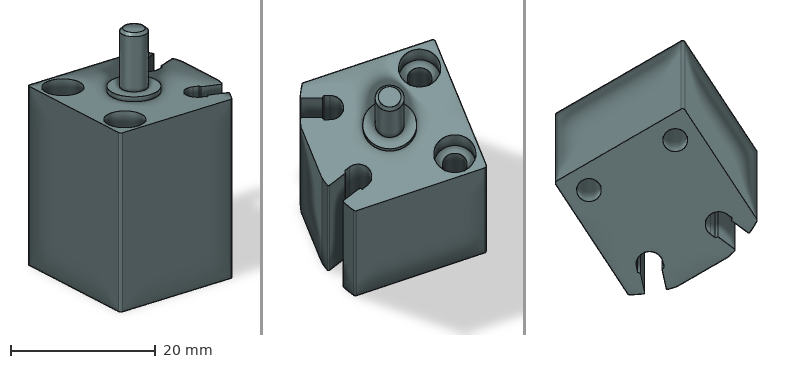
import cadquery as cq
import math

width = 21.0
depth = 22.0
half_width = width / 2
front_y = -half_width
back_y = front_y + depth
body_height = 27.0
side_corner_radius = 0.4

flat_half_width = 4.12
shoulder_y = 9.0
shoulder_bulge = 0.3

total_height = 36.5
collar_diameter = 7.5
collar_height = 0.73
rod_diameter = 4.0
rod_tip_chamfer = 0.45
collar_top = body_height + collar_height
rod_exposed_length = total_height - collar_top
rod_embedded_length = rod_exposed_length
rod_bottom = collar_top - rod_embedded_length

hole_offset = 7.0
hole_diameter = 3.4
counterbore_diameter = 5.8
counterbore_depth = 3.4

slot_center_x = 5.62
slot_center_y = 6.7
slot_tilt = 20.0
slot_radius = 1.85
slot_neck_half_width = 1.515
slot_side_height = 0.85
slot_neck_start = 1.05
slot_cut_length = depth / 2
slot_mouth_radius = 0.2
mouth_clearance = 0.35


def make_block():
    """Block outline with arched back shoulders and rounded corners along both sides."""
    chord_x = half_width - flat_half_width
    chord_y = back_y - shoulder_y
    chord = math.hypot(chord_x, chord_y)
    mid_x = (half_width + flat_half_width) / 2 + shoulder_bulge * chord_y / chord
    mid_y = (shoulder_y + back_y) / 2 + shoulder_bulge * chord_x / chord
    block = (
        cq.Workplane("XY")
        .moveTo(-half_width, front_y)
        .lineTo(half_width, front_y)
        .lineTo(half_width, shoulder_y)
        .threePointArc((mid_x, mid_y), (flat_half_width, back_y))
        .lineTo(-flat_half_width, back_y)
        .threePointArc((-mid_x, mid_y), (-half_width, shoulder_y))
        .close()
        .extrude(body_height)
    )
    return block.edges("|Z and (<X or >X)").fillet(side_corner_radius)


def make_slot_cutter(side):
    """Full-height slot, tilted outward toward side (+1 for +X, -1 for -X)."""
    return (
        cq.Workplane("XY")
        .moveTo(-slot_radius, 0)
        .threePointArc((0, -slot_radius), (slot_radius, 0))
        .lineTo(slot_radius, slot_side_height)
        .lineTo(slot_neck_half_width, slot_neck_start)
        .lineTo(slot_neck_half_width, slot_cut_length)
        .lineTo(-slot_neck_half_width, slot_cut_length)
        .lineTo(-slot_neck_half_width, slot_neck_start)
        .lineTo(-slot_radius, slot_side_height)
        .close()
        .extrude(body_height)
        .rotate((0, 0, 0), (0, 0, 1), -side * slot_tilt)
        .translate((side * slot_center_x, slot_center_y, 0))
    )


def round_slot_mouths(body):
    """Round the four vertical edges where the slots break out of the back."""
    inner_x = half_width - side_corner_radius
    for side in (-1, 1):
        mouth_box = cq.selectors.BoxSelector(
            (side * (flat_half_width + mouth_clearance), shoulder_y, 0),
            (side * inner_x, back_y, body_height),
        )
        body = body.edges("|Z").edges(mouth_box).fillet(slot_mouth_radius)
    return body


def make_housing():
    body = make_block()
    for side in (-1, 1):
        body = body.cut(make_slot_cutter(side))
    body = round_slot_mouths(body)

    body = (
        body.faces(">Z")
        .workplane(origin=(0, 0, body_height))
        .pushPoints([(-hole_offset, -hole_offset), (hole_offset, -hole_offset)])
        .cboreHole(hole_diameter, counterbore_diameter, counterbore_depth)
    )
    collar = (
        cq.Workplane("XY", origin=(0, 0, body_height))
        .circle(collar_diameter / 2)
        .extrude(collar_height)
    )
    rod_bore = (
        cq.Workplane("XY", origin=(0, 0, rod_bottom))
        .circle(rod_diameter / 2)
        .extrude(rod_embedded_length)
    )
    return body.union(collar).cut(rod_bore)


def make_rod():
    return (
        cq.Workplane("XY", origin=(0, 0, rod_bottom))
        .circle(rod_diameter / 2)
        .extrude(total_height - rod_bottom)
        .faces(">Z")
        .chamfer(rod_tip_chamfer)
    )


housing = make_housing()
rod = make_rod()
result = cq.Compound.makeCompound([housing.val(), rod.val()])